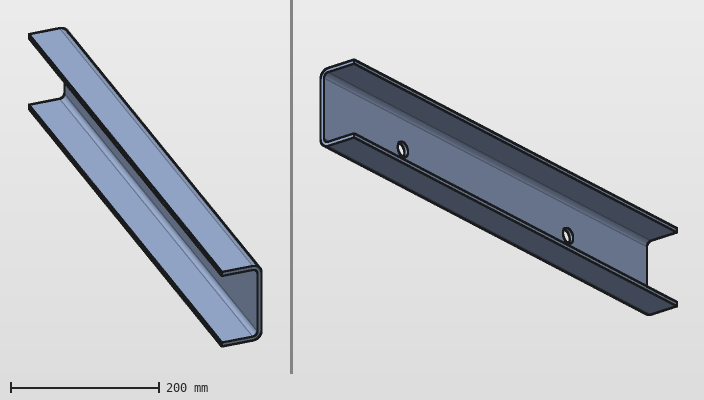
import cadquery as cq

length = 705.1
flange_depth = 57.81
height = 115.61

thickness = 6.25
inner_bend_radius = 6.9
outer_bend_radius = inner_bend_radius + thickness

hole_diameter = 22.0
hole_spacing = 360.7
hole_count = 2

web_back_y = flange_depth / 2


def rounded_bar(depth, bar_height, bend_radius):
    """Full-length bar reaching from the flange edges towards +Y, with its two +Y edges rounded."""
    return (
        cq.Workplane("XY")
        .box(length, depth, bar_height)
        .edges("|X and >Y")
        .fillet(bend_radius)
        .translate((0, depth / 2 - flange_depth / 2, 0))
    )


def make_channel():
    """C-shaped channel of constant thickness, open on its -Y side."""
    outside = rounded_bar(flange_depth, height, outer_bend_radius)
    inside = rounded_bar(flange_depth - thickness, height - 2 * thickness, inner_bend_radius)
    return outside.cut(inside)


def make_holes():
    """Cylinders along Y that pierce the web at mid-height."""
    return (
        cq.Workplane("XZ", origin=(0, web_back_y, 0))
        .rarray(hole_spacing, 1, hole_count, 1)
        .circle(hole_diameter / 2)
        .extrude(thickness)
    )


result = make_channel().cut(make_holes())